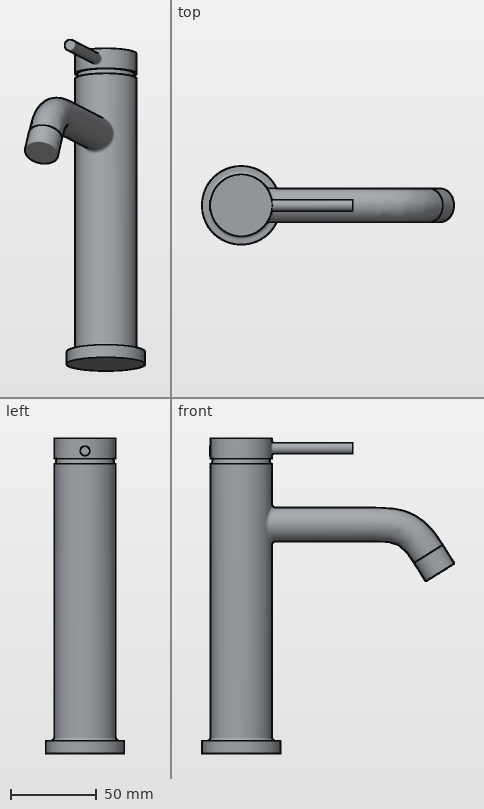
import cadquery as cq
import math

TOTAL_HEIGHT = 184.0
RIM_ROUND = 0.5

FOOT_RADIUS = 23.0
FOOT_HEIGHT = 7.5
COLUMN_RADIUS = 18.0
JOINT_FILLET = 2.0

CAP_HEIGHT = 12.0
LEVER_RADIUS = 3.3
LEVER_REACH = 65.1
LEVER_FILLET = 1.0

NECK_HEIGHT = 3.0
NECK_BOTTOM_RADIUS = 17.1
NECK_MIDDLE_RADIUS = 17.0
NECK_TOP_RADIUS = 16.4

PLUG_RADIUS = 2.8
PLUG_ROUND = 0.2
PLUG_DROP = 7.5
PLUG_LENGTH = 2.2
PLUG_RISE = 0.4

SPOUT_RADIUS = 10.0
SPOUT_AXIS_Z = 133.5
STRAIGHT_REACH = 77.5
BEND_POINTS = [(10.3, -0.5), (19.0, -3.3), (26.3, -9.5), (31.6, -17.1)]
NOZZLE_ANGLE = 58.0
NOZZLE_LENGTH = 12.9

cap_bottom = TOTAL_HEIGHT - CAP_HEIGHT
column_top = cap_bottom - NECK_HEIGHT
lever_z = TOTAL_HEIGHT - CAP_HEIGHT / 2
plug_z = TOTAL_HEIGHT - PLUG_DROP

bend_start = (STRAIGHT_REACH, SPOUT_AXIS_Z)
bend_path_points = [(bend_start[0] + dx, bend_start[1] + dz) for dx, dz in BEND_POINTS]
bend_end = bend_path_points[-1]
nozzle_direction = (math.cos(math.radians(NOZZLE_ANGLE)), -math.sin(math.radians(NOZZLE_ANGLE)))


def make_column():
    """Foot and column turned as one profile, with a concave fillet between them."""
    fillet_top = FOOT_HEIGHT + JOINT_FILLET
    fillet_foot = COLUMN_RADIUS + JOINT_FILLET
    return (
        cq.Workplane("XZ")
        .lineTo(FOOT_RADIUS, 0)
        .lineTo(FOOT_RADIUS, FOOT_HEIGHT - RIM_ROUND)
        .radiusArc((FOOT_RADIUS - RIM_ROUND, FOOT_HEIGHT), -RIM_ROUND)
        .lineTo(fillet_foot, FOOT_HEIGHT)
        .radiusArc((COLUMN_RADIUS, fillet_top), JOINT_FILLET)
        .lineTo(COLUMN_RADIUS, column_top)
        .lineTo(0, column_top)
        .close()
        .revolve(360, (0, 0, 0), (0, 1, 0))
    )


def root_edge(radius, axis_z):
    """Selector for the edge where a round bar along X leaves the column or the cap."""
    return cq.selectors.BoxSelector(
        (0, -radius, axis_z - radius),
        (COLUMN_RADIUS, radius, axis_z + radius),
    )


def make_body():
    """Column and spout pipe, blended by a fillet around the pipe's root."""
    pipe = cq.Workplane("YZ").center(0, SPOUT_AXIS_Z).circle(SPOUT_RADIUS).extrude(STRAIGHT_REACH)
    body = make_column().union(pipe).edges(root_edge(SPOUT_RADIUS, SPOUT_AXIS_Z)).fillet(JOINT_FILLET)
    bend_path = (
        cq.Workplane("XZ")
        .moveTo(*bend_start)
        .spline(bend_path_points, tangents=[(1, 0), nozzle_direction], includeCurrent=True)
    )
    bend_section = cq.Workplane("YZ", origin=(STRAIGHT_REACH, 0, SPOUT_AXIS_Z)).circle(SPOUT_RADIUS)
    bend = bend_section.sweep(bend_path)
    return body.union(bend)


def make_nozzle():
    """Straight end of the spout, seated on the end of the bend."""
    nozzle_plane = cq.Plane(
        origin=(bend_end[0], 0, bend_end[1]),
        xDir=(0, 1, 0),
        normal=(nozzle_direction[0], 0, nozzle_direction[1]),
    )
    nozzle = cq.Workplane(nozzle_plane).circle(SPOUT_RADIUS).extrude(NOZZLE_LENGTH)
    return nozzle.faces(cq.selectors.DirectionMinMaxSelector(nozzle_plane.zDir)).edges().fillet(RIM_ROUND)


def make_neck():
    """Round step under the cap, slightly domed so that it narrows toward the top."""
    return (
        cq.Workplane("XZ", origin=(0, 0, column_top))
        .lineTo(NECK_BOTTOM_RADIUS, 0)
        .threePointArc((NECK_MIDDLE_RADIUS, NECK_HEIGHT / 2), (NECK_TOP_RADIUS, NECK_HEIGHT))
        .lineTo(0, NECK_HEIGHT)
        .close()
        .revolve(360, (0, 0, 0), (0, 1, 0))
    )


def make_plug():
    """Short round plug along X, standing slightly out of the side of the cap."""
    plug_face = (-COLUMN_RADIUS - PLUG_RISE, 0, plug_z)
    plug = cq.Workplane("YZ", origin=plug_face).circle(PLUG_RADIUS).extrude(PLUG_LENGTH)
    return plug.faces("<X").edges().fillet(PLUG_ROUND)


def make_handle(plug):
    """Cap and lever in one piece, with a recess that takes the plug."""
    cap = cq.Workplane("XY", origin=(0, 0, cap_bottom)).circle(COLUMN_RADIUS).extrude(CAP_HEIGHT)
    cap = cap.faces(">Z").edges().fillet(RIM_ROUND)
    lever = cq.Workplane("YZ").center(0, lever_z).circle(LEVER_RADIUS).extrude(LEVER_REACH)
    lever = lever.faces(">X").edges().fillet(RIM_ROUND)
    handle = cap.union(lever).edges(root_edge(LEVER_RADIUS, lever_z)).fillet(LEVER_FILLET)
    return handle.cut(plug)


body = make_body()
nozzle = make_nozzle()
neck = make_neck()
plug = make_plug()
handle = make_handle(plug)

result = cq.Compound.makeCompound([body.val(), nozzle.val(), neck.val(), handle.val(), plug.val()])